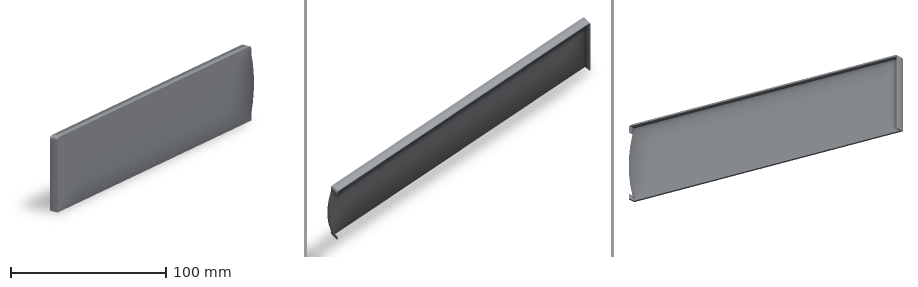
import cadquery as cq

depth = 6.0
length = 216.0
height = 51.4
plate_thickness = 2.0
wall = 1.0
corner_radius = 2.0
rim_length = 213.0
bow_rise = 4.3

inner_top = height - wall
rim_depth = depth - plate_thickness


def bowed_panel(thickness):
    """Panel within the rim, open at the bottom, with an arc at its +Y end."""
    chord_y = length - bow_rise
    return (
        cq.Workplane("YZ")
        .moveTo(wall, 0)
        .lineTo(chord_y, 0)
        .threePointArc((length, inner_top / 2), (chord_y, inner_top))
        .lineTo(wall, inner_top)
        .close()
        .extrude(thickness)
    )


def rounded_block():
    """Outer envelope of the rim with both top corners rounded."""
    block = cq.Workplane("XY").box(depth, rim_length, height, centered=False)
    return block.edges("|X and >Z").fillet(corner_radius)


rim = rounded_block().cut(bowed_panel(depth))

plate = bowed_panel(plate_thickness).translate((rim_depth, 0, 0))

result = rim.union(plate)